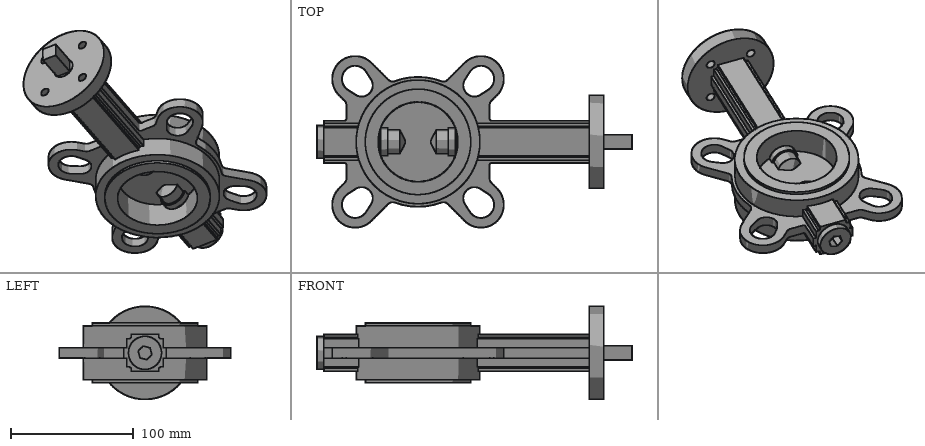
import cadquery as cq
import math


BORE_R = 32.5
RING_R = 50.4
RING_HALF_HEIGHT = 22.0
SEAT_FACE_R = 43.0
SEAT_FACE_HALF_HEIGHT = 24.4

PLATE_THICKNESS = 8.6
PLATE_RING_R = 53.0
PLATE_HALF_LENGTH = 58.4
EAR_R = 18.7
EAR_CENTER = 145.0 / 2 * math.cos(math.pi / 4)
SLOT_OUTER_R = 10.6
SLOT_INNER_CENTER = 130.0 / 2 * math.cos(math.pi / 4)
SLOT_INNER_R = 9.0
EAR_FILLET = 5.0
WEB_FILLET = 1.5
WEB_HALF_WIDTH = 17.35

NECK_START_X = -76.7
NECK_HALF_WIDTH = 15.0
NECK_FLAT_HALF_WIDTH = 11.3
NECK_CHAMFER = 1.3

FLANGE_START_X = 139.3
FLANGE_THICKNESS = 12.0
FLANGE_END_X = FLANGE_START_X + FLANGE_THICKNESS
FLANGE_R = 38.0
FLANGE_BOLT_CIRCLE = 50.0
FLANGE_HOLE_DIAMETER = 7.0

DISC_THICKNESS = 4.0
DISC_BLANK_R = BORE_R + 1.0
HUB_R = 10.0
HUB_COLLAR_R = 11.5
HUB_COLLAR_START_X = 24.7
HUB_CONE_START_X = 15.0
HUB_CONE_HALF_ANGLE = math.radians(60)
HUB_CONE_LENGTH = HUB_R / math.tan(HUB_CONE_HALF_ANGLE)
HUB_HOLE_BOTTOM_X = 17.0

SQUARE_SIDE = 12.0
SQUARE_LENGTH = 23.0
SHAFT_R = 8.5
CAP_R = 13.5
CAP_THICKNESS = 5.6
SOCKET_ACROSS_FLATS = 10.0
SOCKET_DEPTH = 10.0
SOCKET_TURN = -15.0

QUADRANTS = [(1, 1), (-1, 1), (-1, -1), (1, -1)]


def x_cylinder(radius, start_x, end_x):
    """Round bar on the stem axis."""
    return cq.Workplane("YZ", origin=(start_x, 0, 0)).circle(radius).extrude(end_x - start_x)


def z_cylinder(radius, half_height):
    """Round bar on the flow axis, centred on the origin."""
    return cq.Workplane("XY").circle(radius).extrude(half_height, both=True)


def plate_box(start_x, end_x, half_width):
    """Rectangular slab of the mounting plate's thickness."""
    return (
        cq.Workplane("XY")
        .center((start_x + end_x) / 2, 0)
        .rect(end_x - start_x, 2 * half_width)
        .extrude(PLATE_THICKNESS / 2, both=True)
    )


def fillet_upright_edges(body, corner_x, corner_y, radius):
    """Round the plate's upright edge near the given corner in all four quadrants."""
    for sign_x, sign_y in QUADRANTS:
        corner = cq.selectors.NearestToPointSelector((sign_x * corner_x, sign_y * corner_y, 0))
        body = body.edges("|Z").edges(corner).fillet(radius)
    return body


def ear_slot():
    """Tapered slot cutter on the +X +Y diagonal: two arcs joined by their common tangents."""
    inner_u = SLOT_INNER_CENTER * math.sqrt(2)
    outer_u = EAR_CENTER * math.sqrt(2)
    taper = math.asin((SLOT_OUTER_R - SLOT_INNER_R) / (outer_u - inner_u))

    def tangent_point(center_u, radius, side):
        return center_u - radius * math.sin(taper), side * radius * math.cos(taper)

    return (
        cq.Workplane("XY")
        .moveTo(*tangent_point(inner_u, SLOT_INNER_R, 1))
        .lineTo(*tangent_point(outer_u, SLOT_OUTER_R, 1))
        .threePointArc((outer_u + SLOT_OUTER_R, 0), tangent_point(outer_u, SLOT_OUTER_R, -1))
        .lineTo(*tangent_point(inner_u, SLOT_INNER_R, -1))
        .threePointArc((inner_u - SLOT_INNER_R, 0), tangent_point(inner_u, SLOT_INNER_R, 1))
        .close()
        .extrude(PLATE_THICKNESS, both=True)
        .rotate((0, 0, 0), (0, 0, 1), 45)
    )


def build_mounting_plate():
    """Flat plate with four diagonal ears and a web that runs along the neck."""
    ear_bar_length = 2 * EAR_CENTER * math.sqrt(2) + 2 * EAR_R
    offset = EAR_R * math.sqrt(2)
    end_corner_y = PLATE_HALF_LENGTH - offset
    plate = z_cylinder(PLATE_RING_R, PLATE_THICKNESS / 2)
    plate = plate.union(plate_box(-PLATE_HALF_LENGTH, PLATE_HALF_LENGTH, end_corner_y))
    for angle in (45, -45):
        ear_bar = (
            cq.Workplane("XY")
            .slot2D(ear_bar_length, 2 * EAR_R, angle)
            .extrude(PLATE_THICKNESS / 2, both=True)
        )
        plate = plate.union(ear_bar)
    plate = plate.union(plate_box(NECK_START_X, FLANGE_START_X, WEB_HALF_WIDTH))

    ring_corner_x = (math.sqrt(2 * PLATE_RING_R**2 - offset**2) - offset) / 2
    plate = fillet_upright_edges(plate, ring_corner_x, ring_corner_x + offset, EAR_FILLET)
    plate = fillet_upright_edges(plate, PLATE_HALF_LENGTH, end_corner_y, EAR_FILLET)
    plate = fillet_upright_edges(plate, PLATE_HALF_LENGTH, WEB_HALF_WIDTH, WEB_FILLET)

    slot = ear_slot()
    for quarter_turn in range(4):
        plate = plate.cut(slot.rotate((0, 0, 0), (0, 0, 1), 90 * quarter_turn))
    return plate


def build_neck():
    """Square bar whose four corners are notched, each notch with a chamfered inner corner."""
    full = NECK_HALF_WIDTH
    flat = NECK_FLAT_HALF_WIDTH
    bevel = flat + NECK_CHAMFER
    corner = [(full, flat), (bevel, flat), (flat, bevel), (flat, full)]
    outline = []
    for sign_y, sign_z in QUADRANTS:
        points = [(sign_y * y, sign_z * z) for y, z in corner]
        if sign_y * sign_z < 0:
            points.reverse()
        outline += points
    return (
        cq.Workplane("YZ", origin=(NECK_START_X, 0, 0))
        .polyline(outline)
        .close()
        .extrude(FLANGE_START_X - NECK_START_X)
    )


def build_flange():
    """Round actuator flange with four bolt holes on the diagonals."""
    bolt_pitch = FLANGE_BOLT_CIRCLE * math.cos(math.pi / 4)
    return (
        x_cylinder(FLANGE_R, FLANGE_START_X, FLANGE_END_X)
        .faces(">X")
        .workplane(origin=(FLANGE_END_X, 0, 0))
        .rect(bolt_pitch, bolt_pitch, forConstruction=True)
        .vertices()
        .hole(FLANGE_HOLE_DIAMETER)
    )


def build_housing():
    """Ring, mounting plate, neck and flange in one piece, bored for the flow and the shafts."""
    housing = z_cylinder(RING_R, RING_HALF_HEIGHT)
    housing = housing.union(z_cylinder(SEAT_FACE_R, SEAT_FACE_HALF_HEIGHT))
    housing = housing.union(build_mounting_plate())
    housing = housing.union(build_neck())
    housing = housing.union(build_flange())
    housing = housing.cut(z_cylinder(BORE_R, SEAT_FACE_HALF_HEIGHT))
    return housing.cut(x_cylinder(SHAFT_R, NECK_START_X, FLANGE_END_X))


def build_hub():
    """Disc hub on the +X side: cone tip, barrel and collar, turned about the stem axis."""
    return (
        cq.Workplane("XY")
        .moveTo(HUB_CONE_START_X - HUB_CONE_LENGTH, 0)
        .lineTo(HUB_CONE_START_X, HUB_R)
        .lineTo(HUB_COLLAR_START_X, HUB_R)
        .lineTo(HUB_COLLAR_START_X, HUB_COLLAR_R)
        .lineTo(DISC_BLANK_R, HUB_COLLAR_R)
        .lineTo(DISC_BLANK_R, 0)
        .close()
        .revolve(360, (0, 0, 0), (1, 0, 0))
    )


def build_disc():
    """Closed disc with two hubs, its rim turned to a sphere of the bore radius."""
    hub = build_hub()
    disc = z_cylinder(DISC_BLANK_R, DISC_THICKNESS / 2).union(hub).union(hub.mirror("YZ"))
    disc = disc.cut(x_cylinder(SHAFT_R, HUB_HOLE_BOTTOM_X, DISC_BLANK_R))
    disc = disc.cut(x_cylinder(SHAFT_R, -DISC_BLANK_R, -HUB_HOLE_BOTTOM_X))
    return disc.intersect(cq.Workplane("XY").sphere(BORE_R))


def build_stem():
    """Round stem from the disc hub through the flange, with a square drive end."""
    square_end = (
        cq.Workplane("YZ", origin=(FLANGE_END_X, 0, 0))
        .rect(SQUARE_SIDE, SQUARE_SIDE)
        .extrude(SQUARE_LENGTH)
    )
    return x_cylinder(SHAFT_R, HUB_HOLE_BOTTOM_X, FLANGE_END_X).union(square_end)


def build_lower_pin():
    """Pin that carries the other hub, with a round cap and a hexagon socket."""
    cap_end_x = NECK_START_X - CAP_THICKNESS
    socket = (
        cq.Workplane("YZ", origin=(cap_end_x, 0, 0))
        .polygon(6, SOCKET_ACROSS_FLATS, circumscribed=True)
        .extrude(SOCKET_DEPTH)
        .rotate((0, 0, 0), (1, 0, 0), SOCKET_TURN)
    )
    pin = x_cylinder(SHAFT_R, NECK_START_X, -HUB_HOLE_BOTTOM_X)
    pin = pin.union(x_cylinder(CAP_R, cap_end_x, NECK_START_X))
    return pin.cut(socket)


housing = build_housing().solids()
disc = build_disc().solids()
stem = build_stem().solids()
lower_pin = build_lower_pin().solids()

result = cq.Compound.makeCompound([housing.val(), disc.val(), stem.val(), lower_pin.val()])